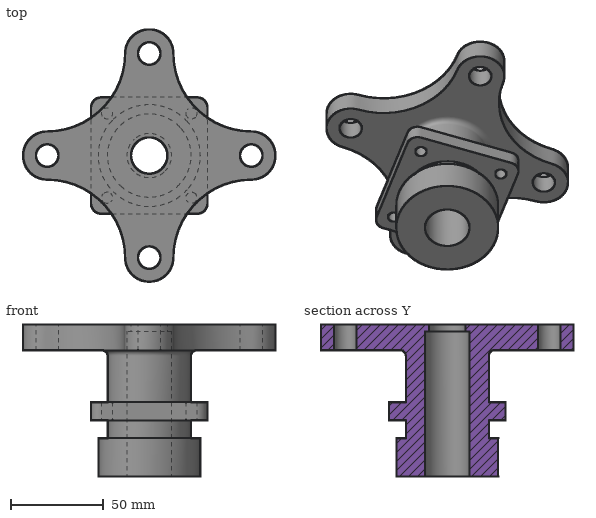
import cadquery as cq
import math

arm_reach = 55.0
arm_radius = 13.0
plate_thickness = 14.0
arm_hole_diameter = 12.0
total_height = 82.0
column_diameter = 45.0
collar_diameter = 55.0
collar_height = 20.8
bore_diameter = 24.0
mouth_diameter = 19.5
mouth_depth = 4.0
neck_fillet = 2.9
flange_side = 62.8
flange_thickness = 9.8
flange_bottom = 30.3
flange_corner_radius = 5.7
flange_hole_diameter = 6.0
flange_hole_offset = 22.7

plate_bottom = total_height - plate_thickness


def rotated(point, quarter_turns):
    """Turn a plan point about the axis by whole quarter turns."""
    x, y = point
    for _ in range(quarter_turns):
        x, y = -y, x
    return x, y


def star_plate():
    waist_radius = arm_reach - arm_radius
    waist_middle = arm_reach - waist_radius * math.sqrt(0.5)
    outline = cq.Workplane("XY").workplane(offset=plate_bottom).moveTo(arm_reach, -arm_radius)
    for turn in range(4):
        outline = outline.threePointArc(
            rotated((arm_reach + arm_radius, 0), turn),
            rotated((arm_reach, arm_radius), turn),
        )
        outline = outline.threePointArc(
            rotated((waist_middle, waist_middle), turn),
            rotated((arm_radius, arm_reach), turn),
        )
    plate = outline.close().extrude(plate_thickness)
    arm_holes = [rotated((arm_reach, 0), turn) for turn in range(4)]
    top_face = plate.faces(">Z").workplane(origin=(0, 0, total_height))
    return top_face.pushPoints(arm_holes).hole(arm_hole_diameter)


def column():
    column_radius = column_diameter / 2
    collar_radius = collar_diameter / 2
    fillet_start = plate_bottom - neck_fillet
    fillet_middle = neck_fillet * (1 - math.sqrt(0.5))
    return (
        cq.Workplane("XZ")
        .lineTo(collar_radius, 0)
        .lineTo(collar_radius, collar_height)
        .lineTo(column_radius, collar_height)
        .lineTo(column_radius, fillet_start)
        .threePointArc(
            (column_radius + fillet_middle, plate_bottom - fillet_middle),
            (column_radius + neck_fillet, plate_bottom),
        )
        .lineTo(0, plate_bottom)
        .close()
        .revolve(360, (0, 0, 0), (0, 1, 0))
    )


def square_flange():
    return (
        cq.Workplane("XY")
        .workplane(offset=flange_bottom)
        .rect(flange_side, flange_side)
        .extrude(flange_thickness)
        .edges("|Z")
        .fillet(flange_corner_radius)
        .faces(">Z")
        .workplane()
        .rect(2 * flange_hole_offset, 2 * flange_hole_offset, forConstruction=True)
        .vertices()
        .hole(flange_hole_diameter)
    )


def stepped_bore():
    bore = cq.Workplane("XY").circle(bore_diameter / 2).extrude(total_height - mouth_depth)
    mouth = cq.Workplane("XY").circle(mouth_diameter / 2).extrude(total_height)
    return bore.union(mouth)


result = star_plate().union(column()).union(square_flange()).cut(stepped_bore())